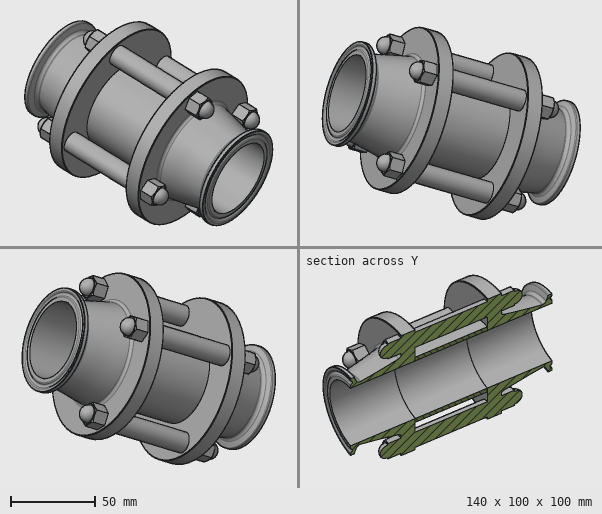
import cadquery as cq
import math


half_length = 70.0
flange_inner = 25.0
flange_thickness = 10.0
flange_outer = flange_inner + flange_thickness

bore_radius = 47.5 / 2
glass_radius = 54.5 / 2
flange_radius = 50.0
flange_chamfer = 0.4

rim_radius = 32.0
rim_width = 2.75
rim_front_chamfer = 0.3
rim_back_fillet = 0.7
back_slope = math.radians(20)
neck_radius = 52.5 / 2
neck_fillet = 2.5
neck_end = 63.0

cone_large_radius = 32.0
cone_fillet = 2.0

groove_mid_radius = 56.5 / 2
groove_half_width = 2.0
groove_arc_radius = 1.25
groove_lip_radius = 1.0

rod_count = 4
rod_circle_radius = 41.5
rod_radius = 6.5
nut_across_flats = 13.0
nut_height = 9.0
nut_face_radius = 6.3
nut_chamfer_angle = math.radians(30)
dome_radius = 5.5


def revolve_about_x(profile):
    """Close a profile (X along the pipe, Y as radius) and turn it about the X axis."""
    return profile.close().revolve(360, (0, 0, 0), (1, 0, 0))


def fillet_at(body, x, radius, size):
    """Round the one circular edge at the given station and radius."""
    tolerance = 0.01
    edges = [
        edge
        for edge in body.edges("%CIRCLE").vals()
        if abs(edge.Center().x - x) < tolerance and abs(edge.radius() - radius) < tolerance
    ]
    return body.newObject(edges).fillet(size)


def seal_groove():
    """Ring cutter for the seal groove, with lips tangent to the ferrule face."""
    face = half_length
    tilt = math.asin(groove_half_width / (groove_arc_radius + groove_lip_radius))
    depth = (groove_arc_radius + groove_lip_radius) * (1 - math.cos(tilt))
    lip_drop = groove_lip_radius * (1 - math.cos(tilt))
    arc_half_width = groove_arc_radius * math.sin(tilt)
    lip_mid_drop = groove_lip_radius * (1 - math.cos(tilt / 2))
    lip_mid_offset = groove_half_width - groove_lip_radius * math.sin(tilt / 2)
    mid = groove_mid_radius
    profile = (
        cq.Workplane("XY")
        .moveTo(face, mid - groove_half_width)
        .threePointArc(
            (face - lip_mid_drop, mid - lip_mid_offset),
            (face - lip_drop, mid - arc_half_width),
        )
        .threePointArc((face - depth, mid), (face - lip_drop, mid + arc_half_width))
        .threePointArc((face - lip_mid_drop, mid + lip_mid_offset), (face, mid + groove_half_width))
    )
    return revolve_about_x(profile)


def end_fitting():
    """Flange, cone and clamp ferrule of the +X end, turned as one piece."""
    rim_back = half_length - rim_width
    neck_start = rim_back - (rim_radius - neck_radius) * math.tan(back_slope)
    profile = (
        cq.Workplane("XY")
        .moveTo(flange_inner, bore_radius)
        .lineTo(flange_inner, flange_radius - flange_chamfer)
        .lineTo(flange_inner + flange_chamfer, flange_radius)
        .lineTo(flange_outer - flange_chamfer, flange_radius)
        .lineTo(flange_outer, flange_radius - flange_chamfer)
        .lineTo(flange_outer, cone_large_radius)
        .lineTo(neck_end, neck_radius)
        .lineTo(neck_start, neck_radius)
        .lineTo(rim_back, rim_radius)
        .lineTo(half_length - rim_front_chamfer, rim_radius)
        .lineTo(half_length, rim_radius - rim_front_chamfer)
        .lineTo(half_length, bore_radius)
    )
    fitting = revolve_about_x(profile)
    fitting = fillet_at(fitting, flange_outer, cone_large_radius, cone_fillet)
    fitting = fillet_at(fitting, neck_start, neck_radius, neck_fillet)
    fitting = fillet_at(fitting, rim_back, rim_radius, rim_back_fillet)
    return fitting.cut(seal_groove())


def cap_nut():
    """Domed hexagon nut on the X axis, seated on the outer face of the +X flange."""
    corner_radius = nut_across_flats / 2 / math.cos(math.pi / 6)
    nut_face = flange_outer + nut_height
    chamfer_length = (corner_radius - nut_face_radius) * math.tan(nut_chamfer_angle)
    hexagon = (
        cq.Workplane("YZ", origin=(flange_outer, 0, 0))
        .polygon(6, 2 * corner_radius)
        .extrude(nut_height)
    )
    chamfer_envelope = revolve_about_x(
        cq.Workplane("XY")
        .moveTo(flange_outer, 0)
        .lineTo(flange_outer, corner_radius)
        .lineTo(nut_face - chamfer_length, corner_radius)
        .lineTo(nut_face, nut_face_radius)
        .lineTo(nut_face, 0)
    )
    dome_mid = dome_radius * math.sqrt(0.5)
    dome = revolve_about_x(
        cq.Workplane("XY")
        .moveTo(nut_face, 0)
        .lineTo(nut_face, dome_radius)
        .threePointArc((nut_face + dome_mid, dome_mid), (nut_face + dome_radius, 0))
    )
    return hexagon.intersect(chamfer_envelope).union(dome)


def tie_rod():
    """One rod between the flanges with its two cap nuts, above the pipe in +Z."""
    rod = cq.Workplane("YZ", origin=(-flange_inner, 0, 0)).circle(rod_radius).extrude(2 * flange_inner)
    nut = cap_nut()
    parts = rod.add(nut).add(nut.mirror("YZ"))
    return parts.translate((0, 0, rod_circle_radius))


plus_end = end_fitting()
frame = plus_end.union(plus_end.mirror("YZ"))
rod_with_nuts = tie_rod()
for index in range(rod_count):
    angle = index * 360 / rod_count
    for piece in rod_with_nuts.vals():
        frame = frame.union(cq.Workplane(piece.rotate((0, 0, 0), (1, 0, 0), angle)))

glass_tube = (
    cq.Workplane("YZ", origin=(-flange_inner, 0, 0))
    .circle(glass_radius)
    .circle(bore_radius)
    .extrude(2 * flange_inner)
)

result = cq.Compound.makeCompound([frame.val(), glass_tube.val()])